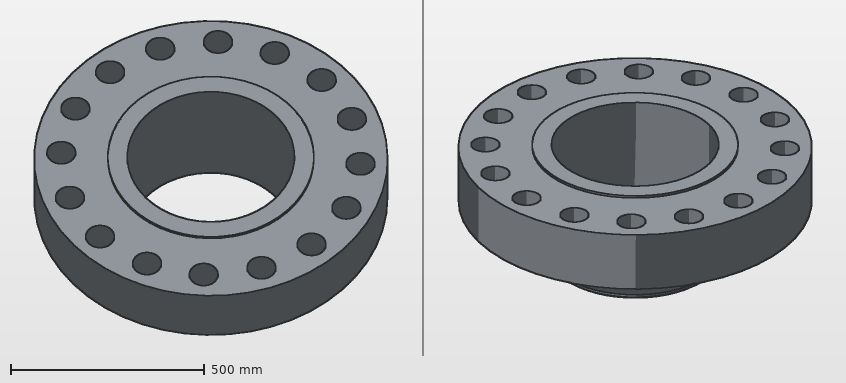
import cadquery as cq

flange_diameter = 914.0
flange_thickness = 162.0
raised_face_diameter = 533.0
raised_face_height = 6.0
total_height = 334.0
bore_diameter = 432.5

hub_diameter = 594.0
hub_fillet_radius = 17.0
weld_end_diameter = 457.0
weld_land_height = 7.0
bevel_height = 9.0
bevel_width = 12.0

bolt_hole_count = 16
bolt_hole_diameter = 74.0
bolt_circle_diameter = 774.5

selection_margin = 0.1

disc_top = total_height - raised_face_height
disc_bottom = disc_top - flange_thickness
taper_bottom = bevel_height + weld_land_height

flange_radius = flange_diameter / 2
raised_face_radius = raised_face_diameter / 2
hub_radius = hub_diameter / 2
weld_radius = weld_end_diameter / 2
bore_radius = bore_diameter / 2


def flange_body():
    """Revolve the half section about Z and round the hub root."""
    section = (
        cq.Workplane("XZ")
        .moveTo(bore_radius, 0)
        .lineTo(weld_radius - bevel_width, 0)
        .lineTo(weld_radius, bevel_height)
        .lineTo(weld_radius, taper_bottom)
        .lineTo(hub_radius, disc_bottom)
        .lineTo(flange_radius, disc_bottom)
        .lineTo(flange_radius, disc_top)
        .lineTo(raised_face_radius, disc_top)
        .lineTo(raised_face_radius, total_height)
        .lineTo(bore_radius, total_height)
        .close()
    )
    body = section.revolve(360, (0, 0, 0), (0, 1, 0))
    root_edges = body.edges("%CIRCLE").filter(
        lambda edge: abs(edge.radius() - hub_radius) < selection_margin
    )
    return root_edges.fillet(hub_fillet_radius)


def bolt_holes():
    """Cylinders through the disc, evenly spaced from the X axis."""
    return (
        cq.Workplane("XY", origin=(0, 0, disc_bottom))
        .polarArray(bolt_circle_diameter / 2, 0, 360, bolt_hole_count)
        .circle(bolt_hole_diameter / 2)
        .extrude(flange_thickness)
    )


result = flange_body().cut(bolt_holes())